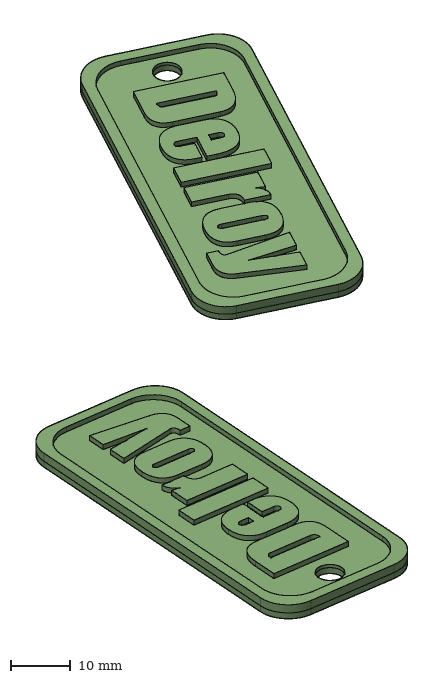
import cadquery as cq


length = 70.0
width = 30.0
total_height = 2.8
base_height = 1.2
recess_depth = 1.0
corner_radius = 6.0
rim_width = 2.0
tray_height = total_height - base_height
floor_z = total_height - recess_depth

hole_diameter = 5.0
hole_x = -length / 2 + corner_radius

baseline_y = -7.5
cap_height = 16.0
x_height = 13.1
overshoot = 0.2
descender = 1.9
opening_bottom = 2.1
opening_top = 10.9
letter_height = recess_depth

d_left = -24.6
e_left = -13.65
l_left = -3.15
r_left = 2.4
o_left = 9.6
y_left = 19.25

stem_width = 4.05

CURVE_FULLNESS = 0.65


def rounded_slab(slab_length, slab_width, radius, height, bottom_z):
    """Rectangular slab with rounded vertical edges, centred on the Z axis."""
    slab = cq.Workplane("XY").workplane(offset=bottom_z).rect(slab_length, slab_width).extrude(height)
    return slab.edges("|Z").fillet(radius)


def key_ring_hole():
    """Cutter that passes through both the base and the tray."""
    return cq.Workplane("XY").center(hole_x, 0).circle(hole_diameter / 2).extrude(total_height)


def make_base():
    return rounded_slab(length, width, corner_radius, base_height, 0).cut(key_ring_hole())


def make_tray():
    tray = rounded_slab(length, width, corner_radius, tray_height, base_height)
    recess = rounded_slab(
        length - 2 * rim_width, width - 2 * rim_width, corner_radius, recess_depth, floor_z
    )
    return tray.cut(recess).cut(key_ring_hole())


def curve_handle(point, corner):
    return tuple(p + CURVE_FULLNESS * (c - p) for p, c in zip(point, corner))


def raised(left, start, *steps):
    """Block on the tray floor, outlined from `start` in the letter's own frame (left edge, baseline).

    A step holding one point is a straight line to it. A step holding two points is
    a curve that rounds off the first point as a corner and ends at the second.
    """
    path = cq.Workplane("XY", origin=(left, baseline_y, floor_z)).moveTo(*start)
    here = start
    for *corners, end in steps:
        if corners:
            corner = corners[0]
            path = path.bezier(
                [here, curve_handle(here, corner), curve_handle(end, corner), end]
            )
        else:
            path = path.lineTo(*end)
        here = end
    return path.close().extrude(letter_height)


def make_d():
    right = 9.7
    opening_left = 4.2
    opening_right = 5.45
    opening_low = 2.7
    opening_high = 13.3
    body = raised(
        d_left,
        (0, 0),
        [(6.0, 0)],
        [(right, 0), (right, 3.7)],
        [(right, 12.1)],
        [(right, cap_height), (4.9, cap_height)],
        [(0, cap_height)],
    )
    opening = raised(
        d_left,
        (opening_left, opening_low),
        [(opening_right, opening_low), (opening_right, 3.8)],
        [(opening_right, 12.45)],
        [(opening_right, opening_high), (opening_left, opening_high)],
    )
    return body.cut(opening)


def make_e():
    right = 9.3
    middle = right / 2
    top = x_height + overshoot
    bottom = -overshoot
    slot_left = 4.0
    slot_right = 5.4
    slot_middle = (slot_left + slot_right) / 2
    slot_end = 2.95
    mouth_bottom = 5.45
    mouth_top = 6.3
    eye_bottom = 8.4
    eye_shoulder = 9.95
    body = raised(
        e_left,
        (middle, bottom),
        [(right, bottom), (right, 4.35)],
        [(right, mouth_bottom)],
        [(slot_right, mouth_bottom)],
        [(slot_right, slot_end)],
        [(slot_right, opening_bottom), (slot_middle, opening_bottom)],
        [(slot_left, opening_bottom), (slot_left, slot_end)],
        [(slot_left, mouth_top)],
        [(right, mouth_top)],
        [(right, 8.1)],
        [(right, top), (middle, top)],
        [(0, top), (0, 8.8)],
        [(0, 4.35)],
        [(0, bottom), (middle, bottom)],
    )
    eye = raised(
        e_left,
        (slot_left, eye_bottom),
        [(slot_right, eye_bottom)],
        [(slot_right, eye_shoulder)],
        [(slot_right, opening_top), (slot_middle, opening_top)],
        [(slot_left, opening_top), (slot_left, eye_shoulder)],
    )
    return body.cut(eye)


def make_l():
    return raised(
        l_left,
        (0, 0),
        [(stem_width, 0)],
        [(stem_width, cap_height)],
        [(0, cap_height)],
    )


def make_r():
    right = 6.4
    top = x_height + overshoot
    arm_bottom = 8.6
    return raised(
        r_left,
        (0, 0),
        [(stem_width, 0)],
        [(stem_width, 6.5)],
        [(stem_width, arm_bottom), (right, arm_bottom)],
        [(right, top)],
        [(4.7, top), (3.85, 11.5)],
        [(stem_width, x_height)],
        [(0, x_height)],
    )


def round_ended_block(left, right, low, high, shoulder):
    """Upright block of the letter "o" with both ends rounded over its whole width."""
    middle = (left + right) / 2
    return raised(
        o_left,
        (middle, low),
        [(right, low), (right, low + shoulder)],
        [(right, high - shoulder)],
        [(right, high), (middle, high)],
        [(left, high), (left, high - shoulder)],
        [(left, low + shoulder)],
        [(left, low), (middle, low)],
    )


def make_o():
    outer_width = 9.1
    outer_shoulder = 4.2
    opening_left = 4.0
    opening_right = 5.1
    opening_shoulder = 0.85
    body = round_ended_block(0, outer_width, -overshoot, x_height + overshoot, outer_shoulder)
    opening = round_ended_block(
        opening_left, opening_right, opening_bottom, opening_top, opening_shoulder
    )
    return body.cut(opening)


def make_y():
    right = 9.2
    left_arm_end = 3.65
    right_arm_start = 5.5
    notch_tip = (4.9, 4.2)
    tail_left = 0.9
    tail_top = 0.2
    return raised(
        y_left,
        (0, x_height),
        [(2.3, 1.25)],
        [(2.45, tail_top), (tail_left, tail_top)],
        [(tail_left, -descender)],
        [(4.2, -descender)],
        [(7.35, -descender), (7.7, 1.4)],
        [(right, x_height)],
        [(right_arm_start, x_height)],
        [notch_tip],
        [(left_arm_end, x_height)],
    )


base = make_base()
tray = make_tray()
letters = [make_letter() for make_letter in (make_d, make_e, make_l, make_r, make_o, make_y)]

result = cq.Compound.makeCompound([base.val(), tray.val(), *[letter.val() for letter in letters]])